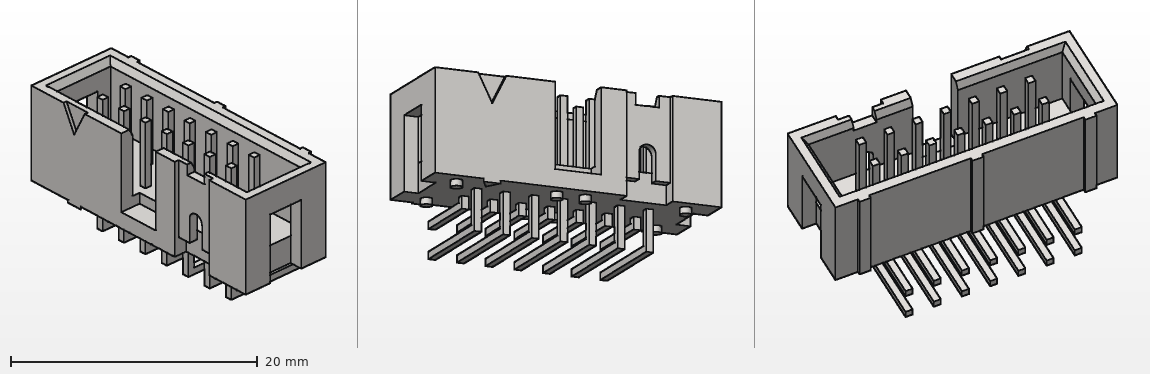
import cadquery as cq


LENGTH = 25.4
DEPTH = 8.9
HEIGHT = 8.9
WALL = 1.27
FLOOR = 2.55
FRONT_Y = -DEPTH / 2
BACK_Y = DEPTH / 2

LEAD_IN_X = 0.45
LEAD_IN_Y = 0.38
LEAD_IN_HEIGHT = 0.69

KEY_WIDTH = 4.06
KEY_DEPTH = 2.03
KEY_BOTTOM = 1.52

PANEL_X = 6.32
PANEL_WIDTH = 4.06
PANEL_RECESS = 0.43
PANEL_BOTTOM = 1.68
NOTCH_WIDTH = 2.05
NOTCH_HEIGHT = 1.0
ARCH_WIDTH = 1.47
ARCH_TOP = 4.67

WINDOW_WIDTH = 3.45
WINDOW_TOP = 6.43

PITCH = 2.55
PIN_COLUMNS = 7
PIN_SIZE = 0.64
PIN_TOP = HEIGHT - 0.2
PIN_END_Y = 7.65
UPPER_LEG_Z = -0.75
PIN_COLUMN_X = [(i - (PIN_COLUMNS - 1) / 2) * PITCH for i in range(PIN_COLUMNS)]

PIN_ONE_X = PIN_COLUMN_X[0]
MARK_WIDTH = 2.51
MARK_HEIGHT = 2.46
MARK_DEPTH = 0.33
POINTER_WIDTH = 1.52
POINTER_LENGTH = 1.32
POINTER_HEIGHT = 0.25

OUTER_X = 4 * PITCH
RIB_X = [-OUTER_X, 0, OUTER_X]
RIB_WIDTH = 1.02
RIB_HEIGHT = 0.3
PEG_X = [-OUTER_X, -PITCH / 2, PITCH / 2, OUTER_X]
PEG_Y = 3.0
PEG_DIAMETER = 1.0
PEG_HEIGHT = 0.55


def block(x_range, y_range, z_range):
    """Axis-aligned box between the given limits."""
    (x0, x1), (y0, y1), (z0, z1) = x_range, y_range, z_range
    return cq.Workplane("XY").box(x1 - x0, y1 - y0, z1 - z0, centered=False).translate((x0, y0, z0))


def span(center, width):
    """Limits of a stretch of the given width about its center."""
    return center - width / 2, center + width / 2


def socket():
    """Open cavity above the floor, with its bevelled mouth."""
    inner_length = LENGTH - 2 * WALL
    inner_depth = DEPTH - 2 * WALL
    cavity = block(span(0, inner_length), span(0, inner_depth), (FLOOR, HEIGHT))
    mouth = (
        cq.Workplane("XY", origin=(0, 0, HEIGHT - LEAD_IN_HEIGHT))
        .rect(inner_length, inner_depth)
        .workplane(offset=LEAD_IN_HEIGHT)
        .rect(inner_length + 2 * LEAD_IN_X, inner_depth + 2 * LEAD_IN_Y)
        .loft(ruled=True)
    )
    return cavity.union(mouth)


def key_slot():
    """Slot through the front wall that also bites into the floor."""
    return block(span(0, KEY_WIDTH), (FRONT_Y, FRONT_Y + KEY_DEPTH), (KEY_BOTTOM, HEIGHT))


def panel_cut():
    """Panel recess, the gap below the panel, its top notch and its arched opening."""
    wall_range = (FRONT_Y, FRONT_Y + WALL)
    recess = block(span(PANEL_X, PANEL_WIDTH), (FRONT_Y, FRONT_Y + PANEL_RECESS), (0, HEIGHT))
    gap = block(span(PANEL_X, PANEL_WIDTH), wall_range, (0, PANEL_BOTTOM))
    notch = block(span(PANEL_X, NOTCH_WIDTH), wall_range, (HEIGHT - NOTCH_HEIGHT, HEIGHT))
    arch_radius = ARCH_WIDTH / 2
    arch_spring = ARCH_TOP - arch_radius
    arch = (
        cq.Workplane("XZ", origin=(PANEL_X, FRONT_Y, 0))
        .moveTo(-arch_radius, 0)
        .lineTo(arch_radius, 0)
        .lineTo(arch_radius, arch_spring)
        .threePointArc((0, ARCH_TOP), (-arch_radius, arch_spring))
        .close()
        .extrude(-WALL)
    )
    return recess.union(gap).union(notch).union(arch)


def end_windows():
    """Openings through both end walls, reaching down to the underside."""
    left = block((-LENGTH / 2, WALL - LENGTH / 2), span(0, WINDOW_WIDTH), (0, WINDOW_TOP))
    return left.union(left.mirror("YZ"))


def pin_one_groove():
    """Triangular groove in the front wall, pointing down."""
    return (
        cq.Workplane("XZ", origin=(PIN_ONE_X, FRONT_Y, HEIGHT))
        .polyline([(-MARK_WIDTH / 2, 0), (MARK_WIDTH / 2, 0), (0, -MARK_HEIGHT)])
        .close()
        .extrude(-MARK_DEPTH)
    )


def pin_one_pointer():
    """Raised triangle on the underside, pointing inward from the front edge."""
    return (
        cq.Workplane("XY", origin=(PIN_ONE_X, FRONT_Y, 0))
        .polyline([(-POINTER_WIDTH / 2, 0), (POINTER_WIDTH / 2, 0), (0, POINTER_LENGTH)])
        .close()
        .extrude(-POINTER_HEIGHT)
    )


def pegs():
    """Round standoffs along both long edges of the underside."""
    points = [(x, y) for x in PEG_X for y in (-PEG_Y, PEG_Y)]
    return cq.Workplane("XY").pushPoints(points).circle(PEG_DIAMETER / 2).extrude(-PEG_HEIGHT)


def bent_pin(x, y, leg_z):
    """Square pin that drops through the floor and turns toward +Y."""
    bottom = leg_z - PIN_SIZE / 2
    post = block(span(x, PIN_SIZE), span(y, PIN_SIZE), (bottom, PIN_TOP))
    leg = block(span(x, PIN_SIZE), (y, PIN_END_Y), span(leg_z, PIN_SIZE))
    return post.union(leg)


result = block(span(0, LENGTH), span(0, DEPTH), (0, HEIGHT))

for rib_x in RIB_X:
    result = result.union(block(span(rib_x, RIB_WIDTH), (BACK_Y, BACK_Y + RIB_HEIGHT), (0, HEIGHT)))

for cutter in (socket(), key_slot(), panel_cut(), end_windows(), pin_one_groove()):
    result = result.cut(cutter)

result = result.union(pin_one_pointer()).union(pegs())

for pin_x in PIN_COLUMN_X:
    result = result.union(bent_pin(pin_x, PITCH / 2, UPPER_LEG_Z))
    result = result.union(bent_pin(pin_x, -PITCH / 2, UPPER_LEG_Z - PITCH))